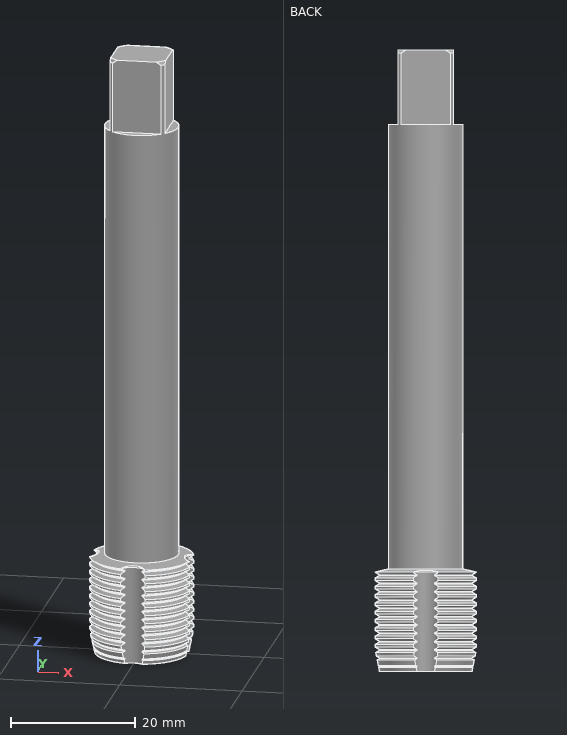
import cadquery as cq
import math

total_length = 100.0

sleeve_length = 16.0
inch = 25.4
threads_per_inch = 19
thread_pitch = inch / threads_per_inch
thread_depth = 0.8
thread_angle = 55.0
root_flat = 0.1
first_groove_z = 0.8
groove_count = 12
lead_length = 3.5
lead_radius = 7.6

flute_count = 4
envelope_width = 16.3
flute_corner_offset = 2.0
flute_bottom_radius = 7.0
flute_depth = envelope_width / 2 - flute_bottom_radius
flute_radius = (flute_corner_offset**2 + flute_depth**2) / (2 * flute_depth)
crest_radius = math.hypot(envelope_width / 2, flute_corner_offset)

core_radius = 6.6
collar_height = 0.5
shank_radius = 6.0
square_size = 9.0
square_length = 12.0
square_chamfer = 0.5


def make_flutes():
    """Four round-bottomed cutters reaching past the sleeve and the collar."""
    return (
        cq.Workplane("XY")
        .polarArray(flute_bottom_radius + flute_radius, 0, 360, flute_count)
        .circle(flute_radius)
        .extrude(sleeve_length + collar_height)
    )


def make_square_waste():
    """Material milled off the top of the shaft to leave the square drive."""
    return (
        cq.Workplane("XY")
        .workplane(offset=total_length - square_length)
        .circle(2 * shank_radius)
        .rect(square_size, square_size)
        .extrude(square_length)
    )


def make_shank():
    """Turned shank with a fluted collar and a square drive on its upper end."""
    turned = (
        cq.Workplane("XZ")
        .moveTo(0, 0)
        .lineTo(core_radius, 0)
        .lineTo(core_radius, sleeve_length)
        .lineTo(crest_radius, sleeve_length)
        .lineTo(shank_radius, sleeve_length + collar_height)
        .lineTo(shank_radius, total_length - square_chamfer)
        .lineTo(shank_radius - square_chamfer, total_length)
        .lineTo(0, total_length)
        .close()
        .revolve(360, (0, 0), (0, 1))
    )
    return turned.cut(make_flutes()).cut(make_square_waste())


def make_sleeve_blank():
    """Sleeve with a plain bore, a tapered lead at the bottom and a crest cylinder."""
    return (
        cq.Workplane("XZ")
        .moveTo(core_radius, 0)
        .lineTo(lead_radius, 0)
        .lineTo(crest_radius, lead_length)
        .lineTo(crest_radius, sleeve_length)
        .lineTo(core_radius, sleeve_length)
        .close()
        .revolve(360, (0, 0), (0, 1))
    )


def make_thread_groove(z):
    """Ring-shaped V groove with a narrow flat root, centred at height z."""
    root_radius = crest_radius - thread_depth
    half_root = root_flat / 2
    half_mouth = half_root + thread_depth * math.tan(math.radians(thread_angle / 2))
    return (
        cq.Workplane("XZ")
        .moveTo(root_radius, z - half_root)
        .lineTo(crest_radius, z - half_mouth)
        .lineTo(crest_radius, z + half_mouth)
        .lineTo(root_radius, z + half_root)
        .close()
        .revolve(360, (0, 0), (0, 1))
    )


def make_threaded_sleeve():
    """Sleeve cut by evenly spaced thread grooves and by the flutes."""
    sleeve = make_sleeve_blank()
    for index in range(groove_count):
        sleeve = sleeve.cut(make_thread_groove(first_groove_z + index * thread_pitch))
    return sleeve.cut(make_flutes())


shank = make_shank()
threaded_sleeve = make_threaded_sleeve()

result = cq.Compound.makeCompound([shank.val(), threaded_sleeve.val()])